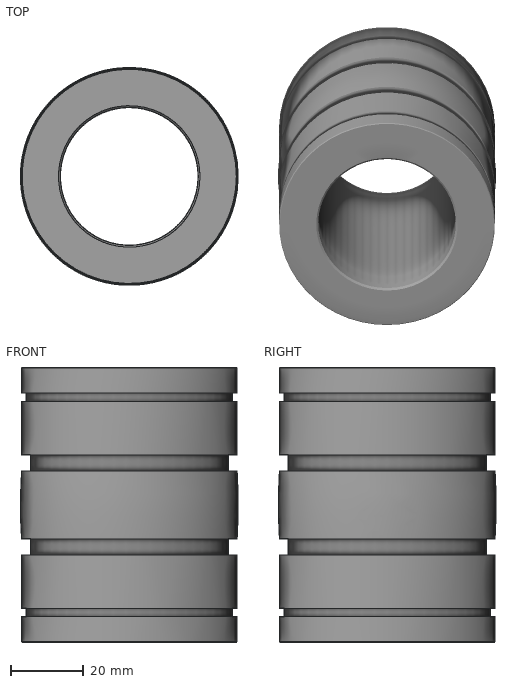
import cadquery as cq

length = 76.0
sleeve_radius = 29.8
bore_radius = 19.0
outer_chamfer = 0.2
bore_chamfer = 0.5

narrow_groove_radius = 28.5
narrow_groove_width = 2.3
narrow_groove_offset = 29.7

wide_groove_radius = 27.4
wide_groove_width = 27.7
crown_ring_width = 18.8
crown_edge_radius = 29.8
crown_radius = 30.1

cutter_overreach = 0.75


def groove_cutter(floor_radius, width, mid_height):
    """Annular cutter that leaves a groove floor at floor_radius."""
    return (
        cq.Workplane("XY")
        .workplane(offset=mid_height - width / 2)
        .circle(sleeve_radius + cutter_overreach)
        .circle(floor_radius)
        .extrude(width)
    )


def make_sleeve():
    """Chamfered tube with a wide central groove and two narrow ones."""
    outside = cq.Workplane("XY").circle(sleeve_radius).extrude(length / 2, both=True)
    outside = outside.faces("<Z or >Z").edges().chamfer(outer_chamfer)
    bore = cq.Workplane("XY").circle(bore_radius).extrude(length / 2, both=True)
    sleeve = outside.cut(bore)
    bore_rims = cq.selectors.RadiusNthSelector(0)
    sleeve = sleeve.faces("<Z or >Z").edges(bore_rims).chamfer(bore_chamfer)

    sleeve = sleeve.cut(groove_cutter(wide_groove_radius, wide_groove_width, 0))
    for side in (-1, 1):
        mid_height = side * narrow_groove_offset
        sleeve = sleeve.cut(groove_cutter(narrow_groove_radius, narrow_groove_width, mid_height))
    return sleeve


def make_crown_ring():
    """Ring with a convex outer face, bulging slightly beyond the sleeve."""
    half_width = crown_ring_width / 2
    return (
        cq.Workplane("XZ")
        .moveTo(wide_groove_radius, -half_width)
        .lineTo(crown_edge_radius, -half_width)
        .threePointArc((crown_radius, 0), (crown_edge_radius, half_width))
        .lineTo(wide_groove_radius, half_width)
        .close()
        .revolve(360, (0, 0), (0, 1))
    )


sleeve = make_sleeve()
crown_ring = make_crown_ring()

result = cq.Compound.makeCompound([sleeve.val(), crown_ring.val()])